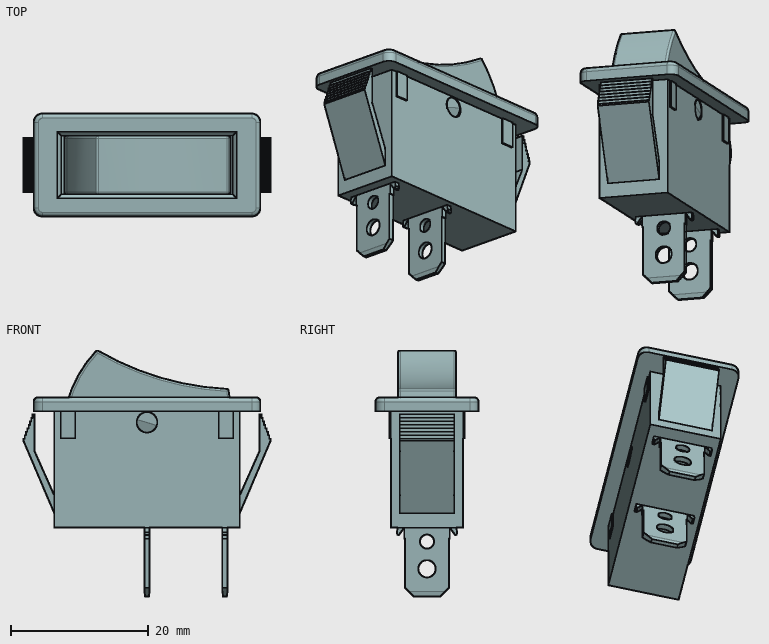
import cadquery as cq


BEZEL_LENGTH = 33.0
BEZEL_WIDTH = 15.0
BEZEL_HEIGHT = 2.05
BEZEL_CORNER_RADIUS = 1.3
BEZEL_TOP_FILLET = 0.65

HOUSING_LENGTH = 27.0
HOUSING_WIDTH = 10.5
HOUSING_DEPTH = 16.92
PAD_LENGTH = 2.1
PAD_DEPTH = 3.92
PAD_THICKNESS = 0.2
PAD_CENTER_X = 11.5

ROCKER_WIDTH = 8.5
ROCKER_TILT = 16.5
ROCKER_FILLET = 0.32
ROCKER_TIP = (9.97, 8.03)
ROCKER_SIDE_MIDDLE = (11.5, 3.95)
ROCKER_FOOT = (12.0, -0.55)
ROCKER_BASE = (12.0, -2.88)
ROCKER_SADDLE_HEIGHT = 6.8
OPENING_LENGTH = 25.0
OPENING_WIDTH = 8.55
OPENING_BEVEL_WIDTH = 0.58
OPENING_BEVEL_DEPTH = 0.5

PIVOT_DIAMETER = 3.0
PIVOT_Z = -1.6
PIN_RECESS = 0.1
RAMP_DEPTH = 0.45

LATCH_WIDTH = 7.92
LATCH_TOP_Z = -0.45
LATCH_INNER_X = 16.35
LATCH_BEND_Z = -5.8
LATCH_INNER_ROOT_Z = -12.15
LATCH_OUTER_ROOT_Z = -14.85
LATCH_ROOT_OVERLAP = 0.35
LATCH_TOP_X = 16.65
LATCH_TIP_X = 18.0
LATCH_TIP_Z = -4.25
STEP_COUNT = 8
STEP_HEIGHT = 0.5

TERMINAL_CENTERS_X = (0, 11.35)
TERMINAL_THICKNESS = 0.8
TERMINAL_HALF_WIDTH = 3.2
TERMINAL_TIP_HALF_WIDTH = 1.95
TERMINAL_SHOULDER_HALF_WIDTH = 3.3
TERMINAL_SHOULDER_Z = -18.5
TERMINAL_TAPER_Z = -25.65
TERMINAL_BOTTOM_Z = -26.93
TERMINAL_BEVEL_HEIGHT = 0.75
TERMINAL_BEVEL_DEPTH = 0.1
TERMINAL_HOLES = ((-18.95, 2.0), (-22.9, 2.5))
BARB_PROFILE = ((3.3, 0), (3.78, -0.65), (4.1, -1.08), (4.32, -1.0), (4.4, -0.7), (4.3, 0))


def make_bezel():
    bezel = (
        cq.Workplane("XY")
        .rect(BEZEL_LENGTH, BEZEL_WIDTH)
        .extrude(BEZEL_HEIGHT)
        .edges("|Z")
        .fillet(BEZEL_CORNER_RADIUS)
        .faces(">Z")
        .edges()
        .fillet(BEZEL_TOP_FILLET)
    )
    opening = cq.Workplane("XY").rect(OPENING_LENGTH, OPENING_WIDTH).extrude(BEZEL_HEIGHT)
    bevel = (
        cq.Workplane("XY", origin=(0, 0, BEZEL_HEIGHT - OPENING_BEVEL_DEPTH))
        .rect(OPENING_LENGTH, OPENING_WIDTH)
        .workplane(offset=OPENING_BEVEL_DEPTH)
        .rect(OPENING_LENGTH + 2 * OPENING_BEVEL_WIDTH, OPENING_WIDTH + 2 * OPENING_BEVEL_WIDTH)
        .loft(ruled=True)
    )
    return bezel.cut(opening).cut(bevel)


def make_housing():
    housing = cq.Workplane("XY").rect(HOUSING_LENGTH, HOUSING_WIDTH).extrude(-HOUSING_DEPTH)
    pads = (
        cq.Workplane("XY")
        .pushPoints([(-PAD_CENTER_X, 0), (PAD_CENTER_X, 0)])
        .rect(PAD_LENGTH, HOUSING_WIDTH + 2 * PAD_THICKNESS)
        .extrude(-PAD_DEPTH)
    )
    return housing.union(pads)


def make_rocker():
    """Symmetric rocker with a concave top, drawn about its pivot and then tilted."""

    def mirrored(point):
        return (-point[0], point[1])

    rocker = (
        cq.Workplane("XZ")
        .moveTo(*mirrored(ROCKER_BASE))
        .lineTo(*mirrored(ROCKER_FOOT))
        .threePointArc(mirrored(ROCKER_SIDE_MIDDLE), mirrored(ROCKER_TIP))
        .threePointArc((0, ROCKER_SADDLE_HEIGHT), ROCKER_TIP)
        .threePointArc(ROCKER_SIDE_MIDDLE, ROCKER_FOOT)
        .lineTo(*ROCKER_BASE)
        .close()
        .extrude(ROCKER_WIDTH / 2, both=True)
    )
    upper_edges = cq.selectors.BoxSelector(
        (-HOUSING_LENGTH, -BEZEL_WIDTH, 0), (HOUSING_LENGTH, BEZEL_WIDTH, HOUSING_LENGTH)
    )
    return (
        rocker.edges(upper_edges)
        .fillet(ROCKER_FILLET)
        .rotate((0, 0, 0), (0, 1, 0), ROCKER_TILT)
        .translate((0, 0, PIVOT_Z))
    )


def make_pivot_cut():
    """Space in the -Y pivot hole: a shallow recess over the pin and the ramp on its lower half."""
    radius = PIVOT_DIAMETER / 2
    face_y = -HOUSING_WIDTH / 2
    pin_end_y = face_y + PIN_RECESS
    bore = cq.Workplane("XZ", origin=(0, face_y, 0)).circle(radius).extrude(-PIN_RECESS - RAMP_DEPTH)
    above_pin = (
        cq.Workplane("YZ")
        .polyline(
            [
                (face_y, radius),
                (pin_end_y, radius),
                (pin_end_y, 0),
                (pin_end_y + RAMP_DEPTH, -radius),
                (face_y, -radius),
            ]
        )
        .close()
        .extrude(radius, both=True)
    )
    return (
        bore.intersect(above_pin)
        .rotate((0, 0, 0), (0, 1, 0), ROCKER_TILT)
        .translate((0, 0, PIVOT_Z))
    )


def make_latch():
    """Latch on the +X end, with a stepped grip above its tip."""
    root_x = HOUSING_LENGTH / 2
    step_width = (LATCH_TIP_X - LATCH_TOP_X) / (STEP_COUNT - 1)
    points = [
        (root_x - LATCH_ROOT_OVERLAP, LATCH_OUTER_ROOT_Z),
        (root_x - LATCH_ROOT_OVERLAP, LATCH_INNER_ROOT_Z),
        (root_x, LATCH_INNER_ROOT_Z),
        (LATCH_INNER_X, LATCH_BEND_Z),
        (LATCH_INNER_X, LATCH_TOP_Z),
    ]
    for step in range(STEP_COUNT):
        step_x = LATCH_TOP_X + step * step_width
        step_top = LATCH_TOP_Z - step * STEP_HEIGHT
        step_bottom = step_top - STEP_HEIGHT if step < STEP_COUNT - 1 else LATCH_TIP_Z
        points += [(step_x, step_top), (step_x, step_bottom)]
    points.append((root_x, LATCH_OUTER_ROOT_Z))
    return cq.Workplane("XZ").polyline(points).close().extrude(LATCH_WIDTH / 2, both=True)


def make_terminal():
    """Blade terminal centred on X = 0, with a hooked barb on each side under the housing."""
    right_side = [
        (TERMINAL_SHOULDER_HALF_WIDTH, -HOUSING_DEPTH),
        (TERMINAL_SHOULDER_HALF_WIDTH, TERMINAL_SHOULDER_Z),
        (TERMINAL_HALF_WIDTH, TERMINAL_SHOULDER_Z),
        (TERMINAL_HALF_WIDTH, TERMINAL_TAPER_Z),
        (TERMINAL_TIP_HALF_WIDTH, TERMINAL_BOTTOM_Z),
    ]
    left_side = [(-y, z) for y, z in reversed(right_side)]
    half_thickness = TERMINAL_THICKNESS / 2
    terminal = (
        cq.Workplane("YZ")
        .polyline(right_side + left_side)
        .close()
        .extrude(half_thickness, both=True)
    )
    for side in (-1, 1):
        barb = (
            cq.Workplane("YZ", origin=(0, 0, -HOUSING_DEPTH))
            .polyline([(side * y, z) for y, z in BARB_PROFILE])
            .close()
            .extrude(half_thickness, both=True)
        )
        bevel = (
            cq.Workplane("XZ")
            .polyline(
                [
                    (side * half_thickness, TERMINAL_BOTTOM_Z + TERMINAL_BEVEL_HEIGHT),
                    (side * half_thickness, TERMINAL_BOTTOM_Z),
                    (side * (half_thickness - TERMINAL_BEVEL_DEPTH), TERMINAL_BOTTOM_Z),
                ]
            )
            .close()
            .extrude(TERMINAL_HALF_WIDTH, both=True)
        )
        terminal = terminal.union(barb).cut(bevel)
    for hole_z, diameter in TERMINAL_HOLES:
        hole = (
            cq.Workplane("YZ", origin=(0, 0, hole_z))
            .circle(diameter / 2)
            .extrude(TERMINAL_THICKNESS, both=True)
        )
        terminal = terminal.cut(hole)
    return terminal


latch = make_latch()
terminal = make_terminal()
pivot_cut = make_pivot_cut()

result = make_housing().union(make_bezel()).union(make_rocker())
result = result.union(latch).union(latch.mirror("YZ"))
for center_x in TERMINAL_CENTERS_X:
    result = result.union(terminal.translate((center_x, 0, 0)))
result = result.cut(pivot_cut).cut(pivot_cut.mirror("XZ"))